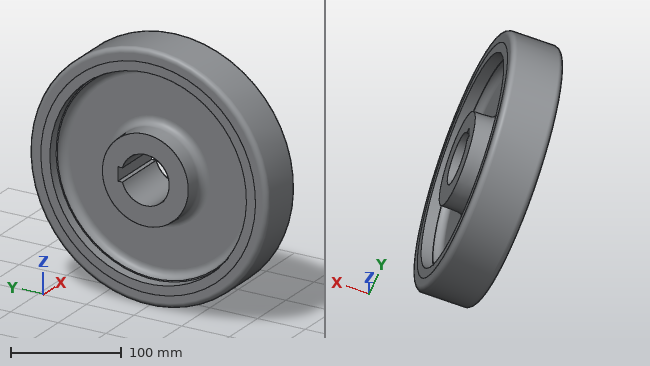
import cadquery as cq

wheel_radius = 125.0
tread_width = 50.0
tread_edge_radius = 5.0
rim_radius = 112.5
rim_inner_radius = 103.0
rim_step = 1.2
hub_radius = 45.0
hub_taper = 0.5
hub_length = 60.0
web_thickness = 12.0
web_fillet_radius = 8.0
bore_radius = 25.0
keyway_width = 14.0
keyway_depth = 3.8


def ring(outer_radius, inner_radius, width):
    """Ring about the X axis, centred on the origin."""
    return (
        cq.Workplane("XZ")
        .moveTo(-width / 2, inner_radius)
        .lineTo(width / 2, inner_radius)
        .lineTo(width / 2, outer_radius)
        .lineTo(-width / 2, outer_radius)
        .close()
        .revolve(360, (0, 0, 0), (1, 0, 0))
    )


def make_tyre():
    tyre = ring(wheel_radius, rim_radius, tread_width)
    outer_edges = cq.selectors.RadiusNthSelector(-1)
    return tyre.edges("%CIRCLE").edges(outer_edges).fillet(tread_edge_radius)


def web_recess():
    """Annular recess on the +X side, rounded into the web at the rim and the hub."""
    web_face = web_thickness / 2
    fillet_top = web_face + web_fillet_radius
    hub_face = hub_length / 2
    hub_root = hub_radius + hub_taper
    rim_root = rim_inner_radius - rim_step
    return (
        cq.Workplane("XZ")
        .moveTo(hub_face, hub_radius)
        .lineTo(fillet_top, hub_root)
        .radiusArc((web_face, hub_root + web_fillet_radius), web_fillet_radius)
        .lineTo(web_face, rim_root - web_fillet_radius)
        .radiusArc((fillet_top, rim_root), web_fillet_radius)
        .lineTo(fillet_top, rim_inner_radius)
        .lineTo(hub_face, rim_inner_radius)
        .close()
        .revolve(360, (0, 0, 0), (1, 0, 0))
    )


def keyway():
    reach = bore_radius + keyway_depth
    return cq.Workplane("XY").box(hub_length, reach, keyway_width).translate((0, reach / 2, 0))


def make_wheel_body():
    rim = ring(rim_radius, bore_radius, tread_width)
    hub = ring(hub_radius + hub_taper, bore_radius, hub_length)
    recess = web_recess()
    return rim.union(hub).cut(recess).cut(recess.mirror("YZ")).cut(keyway())


tyre = make_tyre()
wheel_body = make_wheel_body()
result = cq.Compound.makeCompound([tyre.val(), *wheel_body.vals()])